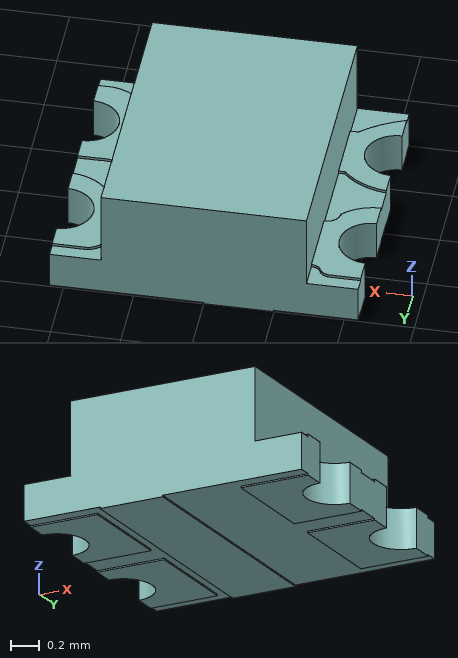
import cadquery as cq

length = 2.2
width = 2.0
height = 0.85

bottom_thickness = 0.01
top_pad_thickness = 0.02
top_pad_level = 0.308
board_top = top_pad_level - top_pad_thickness
body_length = 1.463

notch_radius = 0.225
notch_y = width / 4

pad_margin = 0.1
end_x = length / 2
body_x = body_length / 2
pad_outer_y = width / 2 - pad_margin
pad_inner_y = pad_margin
bottom_pad_length = 0.532

strip_length = 0.497


def block(size_x, size_y, z_low, z_high, x=0, y=0):
    """Box centred on (x, y) between two heights."""
    box = cq.Workplane("XY", origin=(x, y, z_low)).rect(size_x, size_y)
    return box.extrude(z_high - z_low)


def raised(outline):
    """Close a top pad outline and extrude it from the board face."""
    return outline.close().extrude(top_pad_thickness)


def top_pad_start(x, y):
    return cq.Workplane("XY", origin=(0, 0, board_top)).moveTo(x, y)


def left_rear_pad():
    outline = (
        top_pad_start(-end_x, pad_outer_y)
        .lineTo(-0.87, pad_outer_y)
        .threePointArc((-0.816, 0.873), (-0.796, 0.838))
        .threePointArc((-0.775, 0.82), (-body_x, 0.81))
        .lineTo(-body_x, 0.31)
        .threePointArc((-0.79, 0.297), (-0.834, 0.218))
        .threePointArc((-0.953, 0.132), (-end_x, pad_inner_y))
    )
    return raised(outline)


def left_front_pad():
    outline = (
        top_pad_start(-end_x, -pad_inner_y)
        .threePointArc((-0.917, -0.152), (-0.777, -0.257))
        .lineTo(-body_x, -0.257)
        .lineTo(-body_x, -0.713)
        .lineTo(-0.79, -0.713)
        .threePointArc((-0.928, -0.818), (-end_x, -pad_outer_y))
    )
    return raised(outline)


def right_rear_pad():
    outline = (
        top_pad_start(end_x, pad_outer_y)
        .lineTo(0.843, pad_outer_y)
        .threePointArc((0.78, 0.871), (body_x, 0.823))
        .lineTo(body_x, 0.27)
        .lineTo(0.807, 0.27)
        .threePointArc((0.925, 0.156), (end_x, pad_inner_y))
    )
    return raised(outline)


def right_front_pad():
    outline = (
        top_pad_start(end_x, -pad_inner_y)
        .lineTo(0.96, -pad_inner_y)
        .threePointArc((0.835, -0.092), (body_x, -0.048))
        .lineTo(body_x, -0.728)
        .threePointArc((0.85, -0.85), (0.995, -pad_outer_y))
        .lineTo(end_x, -pad_outer_y)
    )
    return raised(outline)


result = block(length, width, bottom_thickness, board_top)
result = result.union(block(body_length, width, board_top, height))

for make_pad in (left_rear_pad, left_front_pad, right_rear_pad, right_front_pad):
    result = result.union(make_pad())

pad_width = pad_outer_y - pad_inner_y
pad_centre_x = end_x - bottom_pad_length / 2
pad_centre_y = (pad_outer_y + pad_inner_y) / 2
for side_x in (-1, 1):
    for side_y in (-1, 1):
        pad = block(bottom_pad_length, pad_width, 0, bottom_thickness,
                    side_x * pad_centre_x, side_y * pad_centre_y)
        result = result.union(pad)
result = result.union(block(strip_length, width, 0, bottom_thickness, -strip_length / 2))

notch_centres = [(x, y) for x in (-end_x, end_x) for y in (-notch_y, notch_y)]
notches = cq.Workplane("XY").pushPoints(notch_centres).circle(notch_radius).extrude(top_pad_level)
result = result.cut(notches)